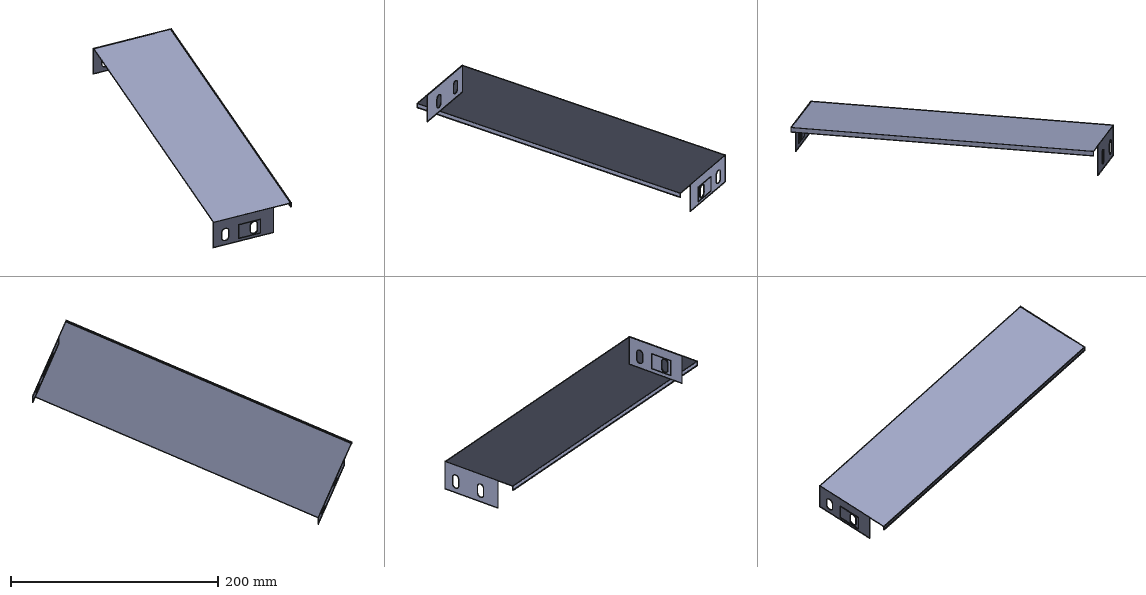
import cadquery as cq

length = 301.5
width = 81.7
height = 30.8
sheet = 0.4

plate_setback = sheet
lip_depth = 4.8
lip_thickness = 2 * sheet

flange_width = 63.3
slot_width = 7.2
slot_height = 14.5
slot_drop = 18.5
slot_offsets = (12.7, 42.5)

pad_thickness = 0.5
pad_width = 23.0
pad_height = 16.5
pad_offset = 38.0
pad_drop = 18.7

body_length = length - pad_thickness


def box(x, y, z, dx, dy, dz):
    """Block with its lowest corner at (x, y, z)."""
    return cq.Workplane("XY").box(dx, dy, dz, centered=False).translate((x, y, z))


def end_flange(x):
    """Upright sheet starting at x, reaching from the base to the plate top."""
    return box(x, 0, 0, sheet, flange_width, height)


plate = box(0, plate_setback, height - sheet, body_length, width - plate_setback, sheet)
lip = box(0, width - lip_thickness, height - lip_depth, body_length, lip_thickness, lip_depth)

pad = box(
    body_length,
    pad_offset - pad_width / 2,
    height - pad_drop - pad_height / 2,
    pad_thickness,
    pad_width,
    pad_height,
)

slots = (
    cq.Workplane("YZ")
    .pushPoints([(offset, height - slot_drop) for offset in slot_offsets])
    .slot2D(slot_height, slot_width, 90)
    .extrude(length)
)

result = (
    plate.union(lip)
    .union(end_flange(0))
    .union(end_flange(body_length - sheet))
    .union(pad)
    .cut(slots)
)